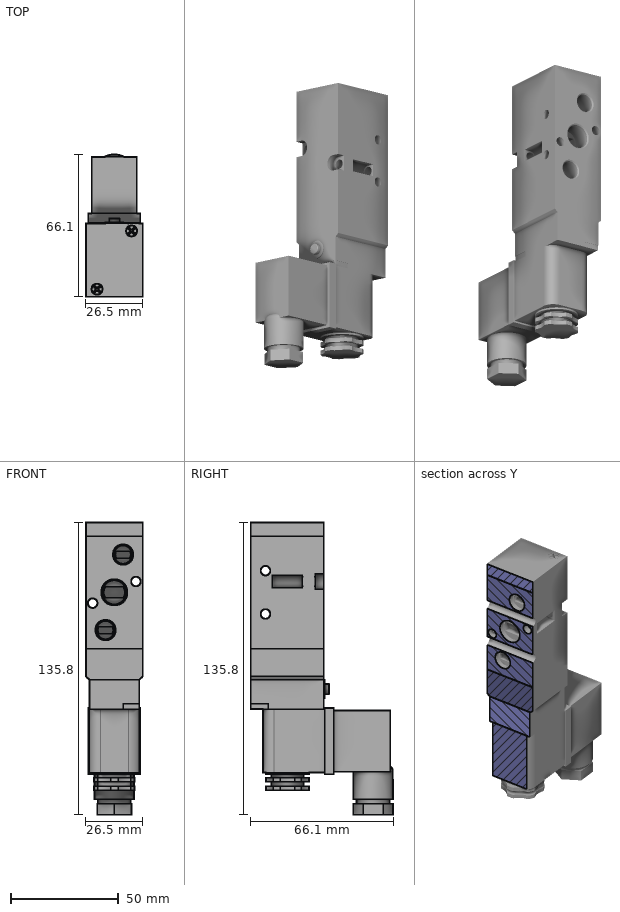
import cadquery as cq
import math


total_height = 135.8
total_depth = 66.1
valve_width = 26.5
valve_depth = 34.1
cap_height = 6.4
body_height = 52.3
adapter_height = 14.4
adapter_chamfer_height = 1.5
adapter_chamfer_width = 1.6
pilot_height = 13.7
pilot_width = valve_width - 2 * adapter_chamfer_width

cap_bottom = total_height - cap_height
body_bottom = cap_bottom - body_height
adapter_bottom = body_bottom - adapter_height
pilot_bottom = adapter_bottom - pilot_height
body_middle = body_bottom + body_height / 2

screw_x = 8.0
screw_edge_distance = 3.5
screw_radius = 2.6
screw_ring_width = 0.1
screw_ring_depth = 0.1
cross_angles = (45, 135)
cross_length = 3.8
cross_width = 0.7
cross_depth = 0.7

port_offset_x = 4.1
port_offset_z = 17.5
port_chamfer = 0.5
port_depth = 9.5
slot_extra_depth = 2.7
slot_step = 0.7
main_port_radius = 5.5
main_slot_height = 5.0
side_port_radius = 4.2
side_slot_height = 3.3

mount_hole_diameter = 4.3
mount_x = 10.0
mount_offset_z = 5.0
counterbore_width = 7.3
counterbore_depth = 4.1
pocket_width = 5.7
pocket_start = 10.2
pocket_end = 24.0
cross_hole_y = 6.9
cross_hole_offset_z = 10.0

override_z = 58.4
override_washer_radius = 4.2
override_washer_thickness = 0.4
override_button_radius = 2.5
override_button_length = 2.5
override_button_chamfer = 0.3

recess_width = 7.5
recess_length = 8.3
recess_height = 2.5
recess_depth = 0.1

coil_front = 5.7
coil_bottom = 19.5
coil_corner_radius = 5.2
flange_front = 34.4
flange_thickness = 4.3
flange_width = 24.3
flange_bottom = 18.7
flange_top = 49.7
connector_width = 21.0
connector_back = 64.9
connector_bottom = 20.0
connector_top = 48.5
flange_back = flange_front + flange_thickness

nut_y = 17.1
nut_radius = 10.0
nut_neck_radius = 7.6
nut_collar_thickness = 0.8
nut_disc_thickness = 1.9
nut_disc_bottoms = (11.4, 15.3)
scallop_count = 6
scallop_half_angle = 20.0
scallop_floor_radius = 8.7

gland_radius = 9.2
gland_y = total_depth - gland_radius
gland_neck_radius = 7.7
gland_nut_height = 5.2
gland_body_bottom = 7.2
gland_top = 22.7
gland_top_fillet = 2.5


def block(width, y_start, y_end, z_start, z_end):
    """Box centred on X = 0 between two Y and two Z positions."""
    base = cq.Workplane("XY", origin=(0, (y_start + y_end) / 2, z_start))
    return base.rect(width, y_end - y_start).extrude(z_end - z_start)


def upright_cylinder(radius, y, z_start, z_end):
    """Cylinder along Z, on the middle plane X = 0."""
    return cq.Workplane("XY", origin=(0, y, z_start)).circle(radius).extrude(z_end - z_start)


def along_y(x, y, z):
    """Workplane at a point whose normal is +Y and whose local axes lie along Z and X."""
    return cq.Workplane(cq.Plane(origin=(x, y, z), xDir=(0, 0, -1), normal=(0, 1, 0)))


def make_end_cap():
    """Flat cap with a ring groove and a cross recess for each of its two screw heads."""
    cap = block(valve_width, 0, valve_depth, cap_bottom, total_height)
    for x, y in ((-screw_x, screw_edge_distance), (screw_x, valve_depth - screw_edge_distance)):
        top = cq.Workplane("XY", origin=(x, y, total_height))
        ring = top.circle(screw_radius).circle(screw_radius - screw_ring_width)
        cap = cap.cut(ring.extrude(-screw_ring_depth))
        for angle in cross_angles:
            arm = top.transformed(rotate=(0, 0, angle)).rect(cross_length, cross_width)
            cap = cap.cut(arm.extrude(-cross_depth))
    return cap


def port_cutter(x, z, radius, slot_height):
    """Chamfered round port with a flat-sided slot in its floor."""
    port = along_y(x, 0, z).circle(radius).extrude(port_depth)
    mouth_radius = radius + port_chamfer
    mouth = along_y(x, 0, z).circle(mouth_radius).workplane(offset=port_chamfer).circle(radius).loft()
    slot_depth = port_depth + slot_extra_depth
    slot = along_y(x, 0, z).circle(radius - slot_step).extrude(slot_depth)
    slot = slot.intersect(along_y(x, 0, z).rect(slot_height, 2 * radius).extrude(slot_depth))
    return port.union(mouth).union(slot)


def open_slot(side, z, width, y_start, y_end):
    """Round-ended slot around a mounting hole, open to the side face of the body."""
    length = y_end - y_start
    round_end = along_y(side * mount_x, y_start, z).circle(width / 2).extrude(length)
    reach = valve_width / 2 - mount_x
    mouth_x = side * (mount_x + reach / 2)
    return round_end.union(along_y(mouth_x, y_start, z).rect(width, reach).extrude(length))


def make_valve_body():
    """Block whose ports and holes are point symmetric about the middle of the port face."""
    body = block(valve_width, 0, valve_depth, body_bottom, cap_bottom)
    body = body.cut(port_cutter(0, body_middle, main_port_radius, main_slot_height))
    for side in (-1, 1):
        port_z = body_middle + side * port_offset_z
        body = body.cut(port_cutter(side * port_offset_x, port_z, side_port_radius, side_slot_height))

        mount_z = body_middle + side * mount_offset_z
        hole = along_y(side * mount_x, 0, mount_z).circle(mount_hole_diameter / 2).extrude(valve_depth)
        counterbore_floor = valve_depth - counterbore_depth
        counterbore = open_slot(side, mount_z, counterbore_width, counterbore_floor, valve_depth)
        pocket = open_slot(side, mount_z, pocket_width, pocket_start, pocket_end)
        body = body.cut(hole).cut(counterbore).cut(pocket)

        cross_hole_z = body_middle + side * cross_hole_offset_z
        cross_hole = (
            cq.Workplane("YZ", origin=(-valve_width / 2, cross_hole_y, cross_hole_z))
            .circle(mount_hole_diameter / 2)
            .extrude(valve_width)
        )
        body = body.cut(cross_hole)
    return body


def make_adapter():
    """Block whose lower side edges taper to the width of the pilot block."""
    half_width = valve_width / 2
    taper_start = adapter_bottom + adapter_chamfer_height
    return (
        cq.Workplane("XZ")
        .moveTo(-half_width, body_bottom)
        .lineTo(half_width, body_bottom)
        .lineTo(half_width, taper_start)
        .lineTo(pilot_width / 2, adapter_bottom)
        .lineTo(-pilot_width / 2, adapter_bottom)
        .lineTo(-half_width, taper_start)
        .close()
        .extrude(-valve_depth)
    )


def corner_recess(x_side, corner_y):
    """Shallow step around one lower corner of the pilot block."""
    y_side = 1 if corner_y > valve_depth / 2 else -1
    corner = cq.Workplane("XY", origin=(x_side * pilot_width / 2, corner_y, pilot_bottom))
    outer = corner.rect(2 * recess_width, 2 * recess_length).extrude(recess_height)
    core_x = -x_side * (pilot_width / 2 + recess_depth)
    core_y = -y_side * (valve_depth / 2 + recess_depth)
    core = corner.center(core_x, core_y).rect(pilot_width, valve_depth).extrude(recess_height)
    return outer.cut(core)


def make_override():
    """Round button on a washer, on the back of the pilot block."""
    seat = along_y(0, valve_depth, override_z)
    washer = seat.circle(override_washer_radius).extrude(override_washer_thickness)
    button = seat.circle(override_button_radius).extrude(override_button_length)
    return washer.union(button.faces(">Y").chamfer(override_button_chamfer))


def make_pilot_block():
    pilot = block(pilot_width, 0, valve_depth, pilot_bottom, adapter_bottom).union(make_override())
    return pilot.cut(corner_recess(1, 0)).cut(corner_recess(-1, valve_depth))


def nut_disc(bottom):
    """Disc of the coil nut with round scallops in its rim."""
    half_angle = math.radians(scallop_half_angle)
    half_chord = nut_radius * math.sin(half_angle)
    scallop_rise = nut_radius * math.cos(half_angle) - scallop_floor_radius
    scallop_radius = (half_chord**2 + scallop_rise**2) / (2 * scallop_rise)
    disc = upright_cylinder(nut_radius, nut_y, bottom, bottom + nut_disc_thickness)
    scallops = (
        cq.Workplane("XY", origin=(0, nut_y, bottom))
        .polarArray(scallop_floor_radius + scallop_radius, 0, 360, scallop_count)
        .circle(scallop_radius)
        .extrude(nut_disc_thickness)
    )
    return disc.cut(scallops)


def make_coil_nut():
    nut = upright_cylinder(nut_neck_radius, nut_y, min(nut_disc_bottoms), coil_bottom)
    collar = upright_cylinder(nut_radius, nut_y, coil_bottom - nut_collar_thickness, coil_bottom)
    nut = nut.union(collar)
    for bottom in nut_disc_bottoms:
        nut = nut.union(nut_disc(bottom))
    return nut


def make_cable_gland():
    gland = upright_cylinder(gland_radius, gland_y, gland_body_bottom, gland_top)
    gland = gland.faces(">Z").fillet(gland_top_fillet)
    neck = upright_cylinder(gland_neck_radius, gland_y, gland_nut_height, gland_body_bottom)
    hexagon = (
        cq.Workplane("XY", origin=(0, gland_y, 0))
        .transformed(rotate=(0, 0, 90))
        .polygon(6, 2 * gland_radius)
        .extrude(gland_nut_height)
    )
    return gland.union(neck).union(hexagon)


def make_solenoid():
    coil = block(pilot_width, coil_front, flange_front, coil_bottom, pilot_bottom)
    coil = coil.faces("<Y").edges("|Z").fillet(coil_corner_radius)
    flange = block(flange_width, flange_front, flange_back, flange_bottom, flange_top)
    connector = block(connector_width, flange_back, connector_back, connector_bottom, connector_top)
    return coil.union(flange).union(connector).union(make_coil_nut()).union(make_cable_gland())


end_cap = make_end_cap()
valve_body = make_valve_body()
adapter = make_adapter()
pilot_block = make_pilot_block()
solenoid = make_solenoid()

result = cq.Compound.makeCompound(
    [end_cap.val(), valve_body.val(), adapter.val(), pilot_block.val(), solenoid.val()]
)